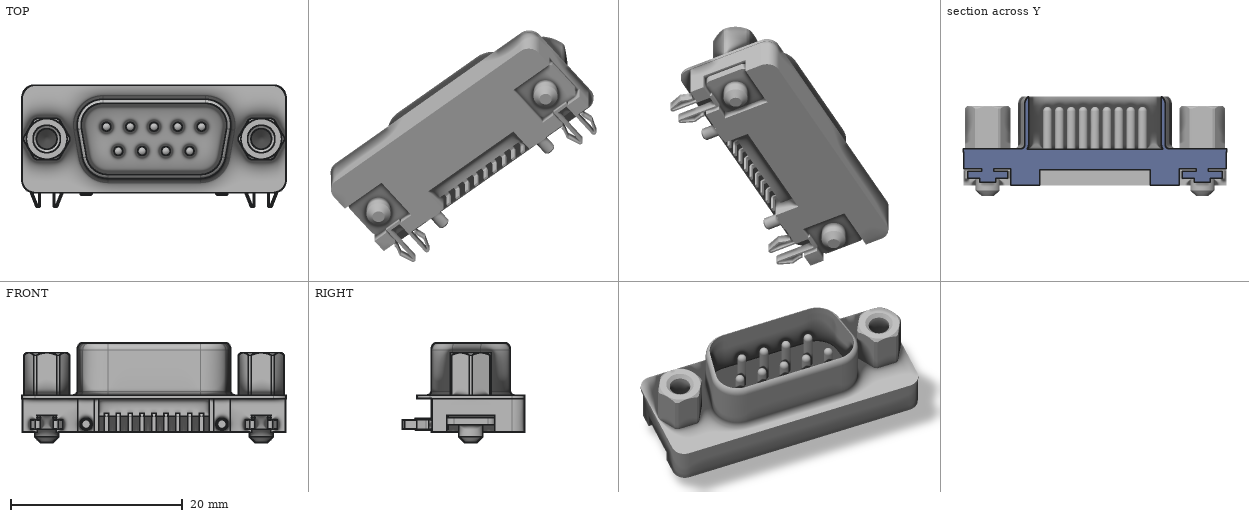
import cadquery as cq
import math


PLATE_LENGTH = 30.8
PLATE_WIDTH = 12.57
PLATE_THICKNESS = 0.4
CORNER_RADIUS = 1.5
PLATE_TOP = 4.3
PLATE_BOTTOM = PLATE_TOP - PLATE_THICKNESS
PLATE_FRONT = -PLATE_WIDTH / 2
PLATE_BACK = PLATE_WIDTH / 2
BODY_LENGTH = 30.7
BODY_FRONT = -4.5

SHELL_TOP = 10.4
SHELL_WIDTH = 9.25
SHELL_MID_HALF_LENGTH = 8.72
SHELL_SIDE_ANGLE = 10.0
SHELL_CORNER_RADIUS = 3.0
SHELL_WALL = 0.45
RIM_RADIUS = 1.0
FLARE_RADIUS = 0.45
FLOOR_Z = 4.25

PIN_DIAMETER = 1.02
PIN_TIP = 9.18
PIN_PITCH = 2.77
ROW_OFFSET = 1.42
BACK_ROW_PINS = 5
FRONT_ROW_PINS = 4

STANDOFF_X = 12.5
STANDOFF_TOP = 9.27
HEX_ACROSS_FLATS = 4.8
HEX_ACROSS_CORNERS = 5.33
HEX_HALF_ANGLE = 30.0
HEX_CHAMFER_ANGLE = 45.0
STANDOFF_FACE_DIAMETER = 4.75
BORE_DIAMETER = 2.4
BORE_DEPTH = 3.7
COUNTERSINK_DIAMETER = 3.2
DRILL_POINT_ANGLE = 118.0

POCKET_WIDTH = 5.55
POCKET_HEIGHT = 1.95
BLOCK_INSET = 0.15
BLOCK_BOTTOM = 0.83
BLOCK_TOP = 1.7
BLOCK_CORNER_RADIUS = 0.77
CHANNEL_WIDTH = 2.25
PEG_DIAMETER = 2.8
PEG_TIP_DIAMETER = 1.42
PEG_TIP = -1.23
PEG_SHOULDER = -0.55

LATCH_BOTTOM = 0.35
LATCH_TOP = 1.42
LATCH_THICKNESS = 0.22
LATCH_INNER = 0.75
LATCH_TIP_WIDTH = 0.6
LATCH_FRONT = -7.98
LATCH_SHOULDER_X = 1.88
LATCH_SHOULDER_Y = -6.3
LATCH_END_X = 1.57
LATCH_BEND_Y = -5.27
LATCH_END_Y = -4.9

POST_X = 7.92
POST_Z = 0.92
POST_DIAMETER = 1.42
POST_FRONT = -6.6
POST_CHAMFER = 0.2
PAD_INNER = 7.0
PAD_OUTER = 8.87
PAD_HEIGHT = 0.1

RECESS_HALF_LENGTH = 6.45
RECESS_DEPTH = 0.68
UNDERCUT_HEIGHT = 1.82
UNDERCUT_BACK = -1.55
TAIL_COUNT = BACK_ROW_PINS + FRONT_ROW_PINS
TAIL_PITCH = PIN_PITCH / 2
TAIL_WIDTH = 0.5
TAIL_THICKNESS = 0.25
TAIL_TOP = 2.22
TAIL_BOTTOM = 0.05
TAIL_BEND_RADIUS = 0.37

JOIN_OVERLAP = 0.15
SELECT_MARGIN = 0.03
HEX_CLEARANCE = 0.3


def box(x0, x1, y0, y1, z0, z1):
    """Block between two opposite corners."""
    return cq.Workplane("XY").box(x1 - x0, y1 - y0, z1 - z0, centered=False).translate((x0, y0, z0))


def row_positions(count, pitch):
    """Evenly spaced positions centred on zero."""
    return [(i - (count - 1) / 2) * pitch for i in range(count)]


def d_prism(inset, bottom, top):
    """D-shaped prism, moved inward from the shell's outer face by inset."""
    slope = math.radians(SHELL_SIDE_ANGLE)
    half_width = SHELL_WIDTH / 2 - inset
    mid = SHELL_MID_HALF_LENGTH - inset / math.cos(slope)
    back = mid + half_width * math.tan(slope)
    front = mid - half_width * math.tan(slope)
    corners = [(-back, half_width), (back, half_width), (front, -half_width), (-front, -half_width)]
    prism = cq.Workplane("XY").workplane(offset=bottom).polyline(corners).close().extrude(top - bottom)
    return prism.edges("|Z").fillet(SHELL_CORNER_RADIUS - inset)


def flared_d(base, inset, top, radius):
    """Plate with the D-shaped prism standing on it and a fillet around the foot."""
    level = base.faces(">Z").val().Center().z
    joined = base.union(d_prism(inset, level, top))
    reach_x = PLATE_LENGTH / 2 - CORNER_RADIUS
    reach_y = SHELL_WIDTH / 2 + FLARE_RADIUS
    foot = cq.selectors.BoxSelector(
        (-reach_x, -reach_y, level - SELECT_MARGIN),
        (reach_x, reach_y, level + SELECT_MARGIN),
    )
    return joined.edges(foot).fillet(radius)


def flange_and_shell():
    """Flange plate with the hollow D-shaped shell standing on it."""
    half = PLATE_LENGTH / 2
    plate = box(-half, half, PLATE_FRONT, PLATE_BACK, PLATE_BOTTOM, PLATE_TOP)
    plate = plate.edges("|Z").fillet(CORNER_RADIUS)

    rim_rise = math.sqrt(RIM_RADIUS**2 - (RIM_RADIUS - SHELL_WALL) ** 2)
    blank_top = SHELL_TOP - rim_rise + RIM_RADIUS
    shell = flared_d(plate, 0, blank_top, FLARE_RADIUS).faces(">Z").edges().fillet(RIM_RADIUS)

    slab = plate.translate((0, 0, -PLATE_THICKNESS))
    cavity = flared_d(slab, SHELL_WALL, blank_top, FLARE_RADIUS + PLATE_THICKNESS)
    cavity = cavity.intersect(box(-half, half, PLATE_FRONT, PLATE_BACK, FLOOR_Z, blank_top))
    return shell.cut(cavity)


def housing():
    """Housing under the flange, with a front recess that is undercut behind the solder tails."""
    body = box(-BODY_LENGTH / 2, BODY_LENGTH / 2, BODY_FRONT, PLATE_BACK, 0, PLATE_BOTTOM)
    body = body.edges("|Z and >Y").fillet(CORNER_RADIUS)
    recess_back = BODY_FRONT + RECESS_DEPTH
    half = RECESS_HALF_LENGTH
    body = body.cut(box(-half, half, BODY_FRONT, recess_back, 0, PLATE_BOTTOM))
    return body.cut(box(-half, half, recess_back, UNDERCUT_BACK, 0, UNDERCUT_HEIGHT))


def contact_pins():
    """Two staggered rows of round pins with hemispherical tips."""
    radius = PIN_DIAMETER / 2
    places = [(x, ROW_OFFSET) for x in row_positions(BACK_ROW_PINS, PIN_PITCH)]
    places += [(x, -ROW_OFFSET) for x in row_positions(FRONT_ROW_PINS, PIN_PITCH)]
    base = FLOOR_Z - JOIN_OVERLAP
    tip_centre = PIN_TIP - radius
    feet = cq.Workplane("XY").workplane(offset=base).pushPoints(places)
    shafts = feet.circle(radius).extrude(tip_centre - base)
    tips = cq.Workplane("XY").workplane(offset=tip_centre).pushPoints(places).sphere(radius)
    return shafts.union(tips)


def hex_bar(across_flats, turn):
    """Hexagonal bar of the standoff's height on the Z axis, turned by an angle in degrees."""
    base = cq.Workplane("XY").workplane(offset=PLATE_TOP).transformed(rotate=(0, 0, turn))
    across_corners = across_flats / math.cos(math.radians(HEX_HALF_ANGLE))
    return base.polygon(6, across_corners).extrude(STANDOFF_TOP - PLATE_TOP)


def standoff():
    """Hex standoff on the Z axis, with its top edges turned to a cone."""
    hexagon = hex_bar(HEX_ACROSS_FLATS, 0).intersect(hex_bar(HEX_ACROSS_CORNERS, HEX_HALF_ANGLE))
    outer = HEX_ACROSS_CORNERS / 2 + HEX_CLEARANCE
    inner = STANDOFF_FACE_DIAMETER / 2
    drop = (outer - inner) * math.tan(math.radians(HEX_CHAMFER_ANGLE))
    cone_profile = [
        (0, PLATE_TOP),
        (outer, PLATE_TOP),
        (outer, STANDOFF_TOP - drop),
        (inner, STANDOFF_TOP),
        (0, STANDOFF_TOP),
    ]
    cone = cq.Workplane("XZ").polyline(cone_profile).close().revolve()
    return hexagon.intersect(cone)


def standoff_bore():
    """Countersunk blind bore on the Z axis, ending in a drill point."""
    radius = BORE_DIAMETER / 2
    mouth = COUNTERSINK_DIAMETER / 2
    bottom = STANDOFF_TOP - BORE_DEPTH
    point = bottom - radius / math.tan(math.radians(DRILL_POINT_ANGLE / 2))
    profile = [
        (0, point),
        (radius, bottom),
        (radius, STANDOFF_TOP - (mouth - radius)),
        (mouth, STANDOFF_TOP),
        (0, STANDOFF_TOP),
    ]
    return cq.Workplane("XZ").polyline(profile).close().revolve()


def boardlock_reach():
    """Distance from the standoff axis to the boardlock block's end face."""
    return BODY_LENGTH / 2 - BLOCK_INSET - STANDOFF_X


def boardlock_pocket():
    """Pocket open at the bottom and the housing's end, with a channel to the front."""
    reach = boardlock_reach()
    half = POCKET_WIDTH / 2
    pocket = box(-reach, reach + BLOCK_INSET, -half, half, 0, POCKET_HEIGHT)
    channel = box(-CHANNEL_WIDTH / 2, CHANNEL_WIDTH / 2, BODY_FRONT, -half, 0, POCKET_HEIGHT)
    return pocket.union(channel)


def latch_leg():
    """Hairpin leg on the +X side: a straight strip folded back outward around a round tip."""
    root = -POCKET_WIDTH / 2 + JOIN_OVERLAP
    t = LATCH_THICKNESS
    tip_x = LATCH_INNER + LATCH_TIP_WIDTH / 2
    tip_outer = LATCH_INNER + LATCH_TIP_WIDTH
    bend_y = LATCH_FRONT + LATCH_TIP_WIDTH / 2
    strip = (
        cq.Workplane("XY")
        .workplane(offset=LATCH_BOTTOM)
        .moveTo(LATCH_INNER, root)
        .lineTo(LATCH_INNER, bend_y)
        .threePointArc((tip_x, LATCH_FRONT), (tip_outer, bend_y))
        .lineTo(LATCH_SHOULDER_X, LATCH_SHOULDER_Y)
        .lineTo(LATCH_END_X, LATCH_BEND_Y)
        .lineTo(LATCH_END_X, LATCH_END_Y)
        .lineTo(LATCH_END_X - t, LATCH_END_Y)
        .lineTo(LATCH_END_X - t, LATCH_BEND_Y)
        .lineTo(LATCH_SHOULDER_X - t, LATCH_SHOULDER_Y)
        .lineTo(tip_outer - t, bend_y)
        .threePointArc((tip_x, LATCH_FRONT + t), (LATCH_INNER + t, bend_y))
        .lineTo(LATCH_INNER + t, root)
        .close()
    )
    return strip.extrude(LATCH_TOP - LATCH_BOTTOM)


def boardlock():
    """Block, peg, front plate and two latch legs, centred on the standoff axis."""
    reach = boardlock_reach()
    half = POCKET_WIDTH / 2
    block = box(-reach, reach, -half, half, BLOCK_BOTTOM, BLOCK_TOP).edges("|Z").fillet(BLOCK_CORNER_RADIUS)
    peg_profile = [
        (0, PEG_TIP),
        (PEG_TIP_DIAMETER / 2, PEG_TIP),
        (PEG_DIAMETER / 2, PEG_SHOULDER),
        (PEG_DIAMETER / 2, BLOCK_TOP),
        (0, BLOCK_TOP),
    ]
    peg = cq.Workplane("XZ").polyline(peg_profile).close().revolve()
    plate_front = -half - LATCH_THICKNESS
    plate_back = -half + JOIN_OVERLAP
    plate_top = POCKET_HEIGHT + JOIN_OVERLAP
    plate = box(-LATCH_INNER, LATCH_INNER, plate_front, plate_back, LATCH_BOTTOM, plate_top)
    leg = latch_leg()
    return block.union(peg).union(plate).union(leg).union(leg.mirror("YZ"))


def guide_post():
    """Raised pad with a chamfered post, on the +X side."""
    pad_front = BODY_FRONT - PAD_HEIGHT
    pad = box(PAD_INNER, PAD_OUTER, pad_front, BODY_FRONT + JOIN_OVERLAP, 0, PLATE_BOTTOM)
    post = (
        cq.Workplane("XZ", origin=(POST_X, BODY_FRONT + JOIN_OVERLAP, POST_Z))
        .circle(POST_DIAMETER / 2)
        .extrude(BODY_FRONT + JOIN_OVERLAP - POST_FRONT)
        .faces("<Y")
        .chamfer(POST_CHAMFER)
    )
    return pad.union(post)


def solder_tail():
    """Flat tail that leaves the recess wall level and bends down."""
    back = BODY_FRONT + RECESS_DEPTH + JOIN_OVERLAP
    inner_y = BODY_FRONT + TAIL_THICKNESS
    level = box(-TAIL_WIDTH / 2, TAIL_WIDTH / 2, BODY_FRONT, back, TAIL_BOTTOM, TAIL_TOP)
    under = box(-TAIL_WIDTH / 2, TAIL_WIDTH / 2, inner_y, back, TAIL_BOTTOM, TAIL_TOP - TAIL_THICKNESS)
    level = level.edges("|X and >Z and <Y").fillet(TAIL_BEND_RADIUS)
    return level.cut(under.edges("|X and >Z and <Y").fillet(TAIL_BEND_RADIUS - TAIL_THICKNESS))


def both_sides(part):
    """A feature on the +X side together with its mirror image on the -X side."""
    return part.union(part.mirror("YZ"))


to_standoff = (STANDOFF_X, 0, 0)
lock_pockets = both_sides(boardlock_pocket().translate(to_standoff))
locks = both_sides(boardlock().translate(to_standoff))
standoffs = both_sides(standoff().translate(to_standoff))
bores = both_sides(standoff_bore().translate(to_standoff))

result = flange_and_shell().union(housing()).union(contact_pins()).union(both_sides(guide_post()))
for tail_x in row_positions(TAIL_COUNT, TAIL_PITCH):
    result = result.union(solder_tail().translate((tail_x, 0, 0)))
result = result.cut(lock_pockets).union(locks)
result = result.union(standoffs).cut(bores)